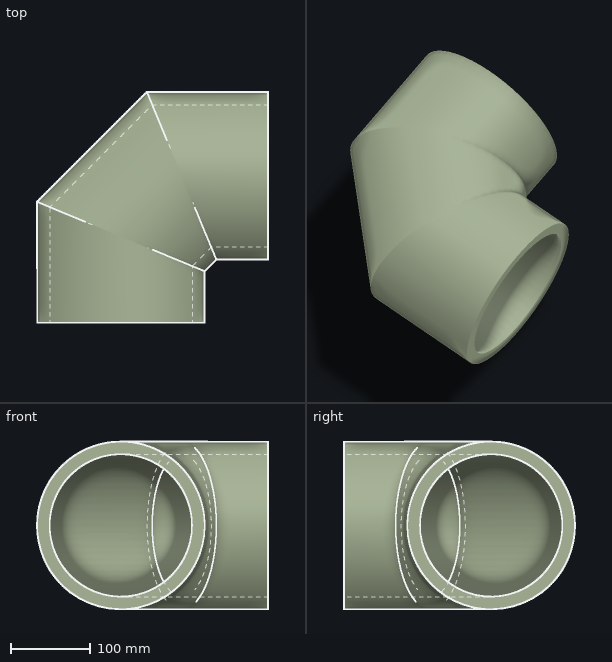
import cadquery as cq

overall_length = 292.0
outer_diameter = 212.0
wall_thickness = 16.0
end_leg_length = 109.2

outer_radius = outer_diameter / 2
inner_radius = outer_radius - wall_thickness
end_to_corner = overall_length - outer_radius
mitre_to_corner = end_to_corner - end_leg_length

centreline = cq.Workplane("XY").polyline([
    (0, -end_to_corner),
    (0, -mitre_to_corner),
    (mitre_to_corner, 0),
    (end_to_corner, 0),
])


start_plane = cq.Workplane("XZ", origin=(0, -end_to_corner, 0))
pipe_section = start_plane.circle(outer_radius).circle(inner_radius)

result = pipe_section.sweep(centreline, transition="right")